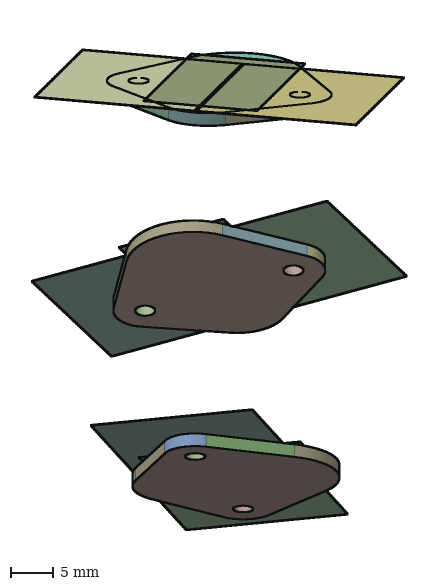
import cadquery as cq
import math

board_thickness = 1.6
side_lobe_radius = 3.78
side_lobe_offset = 9.98
side_lobe_front_angle = 58.5
rear_lobe_radius = 8.0
rear_lobe_offset = 6.55
front_lobe_radius = 6.0
front_lobe_offset = 4.5
hole_diameter = 2.4

sheet_thickness = 0.08
lap_depth = sheet_thickness / 2
overall_width = 39.75
wing_gap = 0.25
wing_width = (overall_width - wing_gap) / 2
wing_depth = 20.0
strip_width = 14.05
strip_depth = 20.0
strip_center_y = 2.1


def point_on_circle(center_y, radius, angle, center_x=0.0):
    """Point of a circle at an angle measured from +X."""
    return (center_x + radius * math.cos(angle), center_y + radius * math.sin(angle))


def tangent_angle(lobe_offset, lobe_radius):
    """Angle above the X axis of the normal to the line touching a middle lobe and a side lobe."""
    spacing = math.hypot(side_lobe_offset, lobe_offset)
    center_line_slope = math.atan2(lobe_offset, side_lobe_offset)
    return math.acos((lobe_radius - side_lobe_radius) / spacing) - center_line_slope


def mirrored(point):
    return (-point[0], point[1])


def make_board():
    rear_angle = tangent_angle(rear_lobe_offset, rear_lobe_radius)
    front_angle = -tangent_angle(front_lobe_offset, front_lobe_radius)
    rear = point_on_circle(rear_lobe_offset, rear_lobe_radius, rear_angle)
    front = point_on_circle(-front_lobe_offset, front_lobe_radius, front_angle)
    side_rear = point_on_circle(0, side_lobe_radius, rear_angle, side_lobe_offset)
    side_end_angle = -math.radians(side_lobe_front_angle)
    side_front = point_on_circle(0, side_lobe_radius, side_end_angle, side_lobe_offset)
    side_tip = (side_lobe_offset + side_lobe_radius, 0)
    rear_tip = (0, rear_lobe_offset + rear_lobe_radius)
    front_tip = (0, -front_lobe_offset - front_lobe_radius)
    return (
        cq.Workplane("XY")
        .moveTo(*mirrored(rear))
        .threePointArc(rear_tip, rear)
        .lineTo(*side_rear)
        .threePointArc(side_tip, side_front)
        .lineTo(*front)
        .threePointArc(front_tip, mirrored(front))
        .lineTo(*mirrored(side_front))
        .threePointArc(mirrored(side_tip), mirrored(side_rear))
        .close()
        .extrude(board_thickness)
        .faces(">Z").workplane(origin=(0, 0, board_thickness))
        .pushPoints([(-side_lobe_offset, 0), (side_lobe_offset, 0)])
        .hole(hole_diameter)
    )


def make_sheet(width, depth, center_x, center_y, bottom_z):
    """Flat rectangular sheet from the given height up to the common top plane."""
    thickness = board_thickness + sheet_thickness - bottom_z
    return (
        cq.Workplane("XY")
        .box(width, depth, thickness, centered=(True, True, False))
        .translate((center_x, center_y, bottom_z))
    )


def make_wing(side):
    center_x = side * (wing_gap + wing_width) / 2
    wing = make_sheet(wing_width, wing_depth, center_x, 0, board_thickness)
    recess_floor = board_thickness + sheet_thickness - lap_depth
    recess = make_sheet(strip_width, strip_depth, 0, strip_center_y, recess_floor)
    return wing.cut(recess)


def make_strip(wings):
    """Full-thickness strip, thinned where it lies over the recessed wings."""
    strip = make_sheet(strip_width, strip_depth, 0, strip_center_y, board_thickness)
    for wing in wings:
        strip = strip.cut(wing)
    return strip


board = make_board()
wings = [make_wing(side) for side in (-1, 1)]
strip = make_strip(wings)

result = cq.Compound.makeCompound([board.val(), strip.val(), *[wing.val() for wing in wings]])